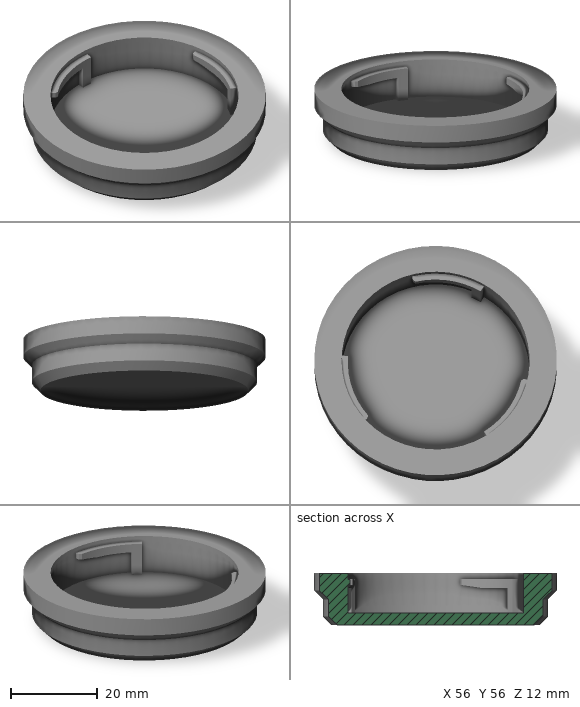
import cadquery as cq
import math

rim_diameter = 56.0
band_diameter = 52.0
rim_height = 4.05
band_height = 4.0
total_height = 12.0
step = (rim_diameter - band_diameter) / 2
base_height = total_height - rim_height - step - band_height

pocket_diameter = 43.4
pocket_depth = 9.0
floor_z = total_height - pocket_depth

lug_depth = 1.45
lug_drop = 1.35
arm_thickness = 2.0
arm_angle = 45.4
leg_angle = 6.8
ramp_length = 5.05
ramp_rise = 0.65
tip_chamfer = 0.5
lug_start_angles = (66.2, 181.8, 298.3)
wall_overlap = 0.3
floor_overlap = 0.3


def make_body():
    """Revolve the stepped outline and cut the pocket from the top."""
    rim_radius = rim_diameter / 2
    band_radius = band_diameter / 2
    band_top = base_height + band_height
    body = (
        cq.Workplane("XZ")
        .lineTo(band_radius - step, 0)
        .lineTo(band_radius, base_height)
        .lineTo(band_radius, band_top)
        .lineTo(rim_radius, total_height - rim_height)
        .lineTo(rim_radius, total_height)
        .lineTo(0, total_height)
        .close()
        .revolve(360, (0, 0, 0), (0, 1, 0))
    )
    pocket = cq.Workplane("XY", origin=(0, 0, floor_z)).circle(pocket_diameter / 2).extrude(pocket_depth)
    return body.cut(pocket)


def ring_sector(start, sweep, bottom, top):
    """Ring segment lining the pocket wall, slightly embedded in it."""
    inner = pocket_diameter / 2 - lug_depth
    outer = pocket_diameter / 2 + wall_overlap

    def point(radius, angle):
        return (radius * math.cos(math.radians(angle)), radius * math.sin(math.radians(angle)))

    middle = start + sweep / 2
    end = start + sweep
    return (
        cq.Workplane("XY", origin=(0, 0, bottom))
        .moveTo(*point(inner, start))
        .lineTo(*point(outer, start))
        .threePointArc(point(outer, middle), point(outer, end))
        .lineTo(*point(inner, end))
        .threePointArc(point(inner, middle), point(inner, start))
        .close()
        .extrude(top - bottom)
    )


def make_lug():
    """L-shaped lug: its tip lies on the X axis and its leg stands at the clockwise end."""
    lug_top = total_height - lug_drop
    arm_bottom = lug_top - arm_thickness
    inner = pocket_diameter / 2 - lug_depth
    arm = ring_sector(-arm_angle, arm_angle, arm_bottom, lug_top)

    ramp = (
        cq.Workplane("YZ")
        .moveTo(0, arm_bottom)
        .lineTo(0, arm_bottom + ramp_rise)
        .lineTo(-ramp_length, arm_bottom)
        .close()
        .extrude(pocket_diameter)
    )
    bevel = (
        cq.Workplane("XY", origin=(0, 0, arm_bottom))
        .moveTo(inner + tip_chamfer, 0)
        .lineTo(inner - tip_chamfer, -2 * tip_chamfer)
        .lineTo(inner - tip_chamfer, 0)
        .close()
        .extrude(arm_thickness)
    )
    leg = ring_sector(-arm_angle, leg_angle, floor_z - floor_overlap, lug_top)
    return arm.cut(ramp).cut(bevel).union(leg)


result = make_body()
lug = make_lug()
for start_angle in lug_start_angles:
    result = result.union(lug.rotate((0, 0, 0), (0, 0, 1), start_angle + arm_angle))